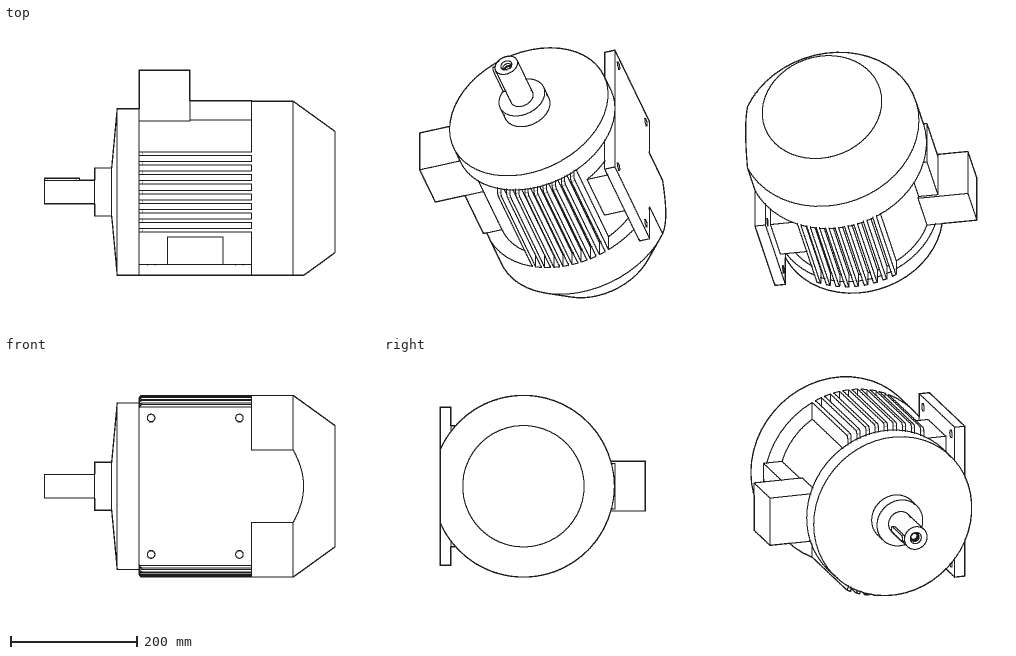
import cadquery as cq

SHAFT_END = 79.5
COLLAR_END = 106.3
SHIELD_RIM = 115.0
BODY_START = 150.0
BODY_END = 327.5
COWL_SHOULDER = 393.8
TOTAL_LENGTH = 460.0

SHAFT_RADIUS = 19.0
COLLAR_RADIUS = 38.0
CORE_RADIUS = 119.5
COWL_RADIUS = 144.0
TAIL_RADIUS = 96.0

SHAFT_HEIGHT = 132.0
SHIELD_RADIUS = SHAFT_HEIGHT

COUNTERSINK_RADIUS = 9.0
COUNTERSINK_DEPTH = 4.0
RECESS_RADIUS = 7.0
RECESS_DEPTH = 9.0
BORE_RADIUS = 5.0
BORE_DEPTH = 27.5
DRILL_POINT_DEPTH = 3.0

KEY_LENGTH = 55.5
KEY_WIDTH = 10.0
KEY_TOP = 22.0
KEY_SEAT = 14.0

FIN_COUNT = 9
FIN_THICKNESS = 5.5
FIN_PITCH = 15.0
FIN_CORNER_RADIUS = 5.0
FIN_BLANK_HEIGHT = 2 * COWL_RADIUS + 4.5

PLATE_THICKNESS = 17.0
PLATE_WIDTH = 250.2
PEDESTAL_LENGTH = 88.5
PEDESTAL_WIDTH = 192.5
FOOT_HOLE_DIAMETER = 12.0
FOOT_HOLE_SPACING_X = 140.0
FOOT_HOLE_SPACING_Z = 216.0

BOX_LENGTH = 80.0
BOX_WIDTH = 79.0
BOX_TOP = 193.0
COVER_WIDTH = 72.5
COVER_TOP = 145.0


def span_box(x_start, x_end, y_start, y_end, width):
    """Block between two X and two Y stations, centred on Z = 0."""
    return cq.Workplane("XY").box(x_end - x_start, y_end - y_start, width).translate(
        ((x_start + x_end) / 2, (y_start + y_end) / 2, 0)
    )


def axial_cylinder(radius, x_start, x_end):
    return cq.Workplane("YZ").workplane(offset=x_start).circle(radius).extrude(x_end - x_start)


def turned_body():
    """Shaft, collar, coned end shield, core and fan cowl in one revolution."""
    return (
        cq.Workplane("XY")
        .moveTo(0, 0)
        .lineTo(0, SHAFT_RADIUS)
        .lineTo(SHAFT_END, SHAFT_RADIUS)
        .lineTo(SHAFT_END, COLLAR_RADIUS)
        .lineTo(COLLAR_END, COLLAR_RADIUS)
        .lineTo(SHIELD_RIM, SHIELD_RADIUS)
        .lineTo(BODY_START, SHIELD_RADIUS)
        .lineTo(BODY_START, CORE_RADIUS)
        .lineTo(BODY_END, CORE_RADIUS)
        .lineTo(BODY_END, COWL_RADIUS)
        .lineTo(COWL_SHOULDER, COWL_RADIUS)
        .lineTo(TOTAL_LENGTH, TAIL_RADIUS)
        .lineTo(TOTAL_LENGTH, 0)
        .close()
        .revolve(360, (0, 0, 0), (1, 0, 0))
    )


def centre_hole():
    """Countersunk and recessed blind bore ending in a drill point."""
    return (
        cq.Workplane("XY")
        .moveTo(0, 0)
        .lineTo(0, COUNTERSINK_RADIUS)
        .lineTo(COUNTERSINK_DEPTH, RECESS_RADIUS)
        .lineTo(RECESS_DEPTH, RECESS_RADIUS)
        .lineTo(RECESS_DEPTH, BORE_RADIUS)
        .lineTo(BORE_DEPTH, BORE_RADIUS)
        .lineTo(BORE_DEPTH + DRILL_POINT_DEPTH, 0)
        .close()
        .revolve(360, (0, 0, 0), (1, 0, 0))
    )


def shaft_key():
    """Round-ended key on the +Y side of the shaft."""
    return (
        cq.Workplane("XZ", origin=(KEY_LENGTH / 2, KEY_TOP, 0))
        .slot2D(KEY_LENGTH, KEY_WIDTH)
        .extrude(KEY_TOP - KEY_SEAT)
    )


def cooling_fins():
    """Parallel vertical fins trimmed to the cowl radius, front corners rounded."""
    envelope = axial_cylinder(COWL_RADIUS, BODY_START, BODY_END).edges("<X").fillet(FIN_CORNER_RADIUS)
    first_fin_y = -FIN_PITCH * (FIN_COUNT - 1) / 2
    fins = cq.Workplane("XY")
    for index in range(FIN_COUNT):
        y = first_fin_y + index * FIN_PITCH
        fins = fins.add(
            span_box(BODY_START, BODY_END, y - FIN_THICKNESS / 2, y + FIN_THICKNESS / 2, FIN_BLANK_HEIGHT)
        )
    return fins.combine().intersect(envelope)


def foot():
    """Drilled foot plate on its pedestal."""
    plate_top = PLATE_THICKNESS - SHAFT_HEIGHT
    middle = (BODY_START + BODY_END) / 2
    plate = span_box(BODY_START, BODY_END, -SHAFT_HEIGHT, plate_top, PLATE_WIDTH)
    holes = (
        cq.Workplane("XZ", origin=(middle, plate_top, 0))
        .rect(FOOT_HOLE_SPACING_X, FOOT_HOLE_SPACING_Z, forConstruction=True)
        .vertices()
        .circle(FOOT_HOLE_DIAMETER / 2)
        .extrude(PLATE_THICKNESS)
    )
    pedestal = span_box(
        middle - PEDESTAL_LENGTH / 2, middle + PEDESTAL_LENGTH / 2, plate_top, 0, PEDESTAL_WIDTH
    )
    return plate.cut(holes).union(pedestal)


def terminal_box():
    """Terminal box with a lower cover running back to the cowl."""
    box = span_box(BODY_START, BODY_START + BOX_LENGTH, 0, BOX_TOP, BOX_WIDTH)
    cover = span_box(BODY_START, BODY_END, 0, COVER_TOP, COVER_WIDTH)
    return box.union(cover)


below_foot = span_box(BODY_END, TOTAL_LENGTH, -2 * SHAFT_HEIGHT, -SHAFT_HEIGHT, 2 * COWL_RADIUS)

result = (
    turned_body()
    .union(cooling_fins())
    .cut(below_foot)
    .union(foot())
    .union(terminal_box())
    .union(shaft_key())
    .cut(centre_hole())
)